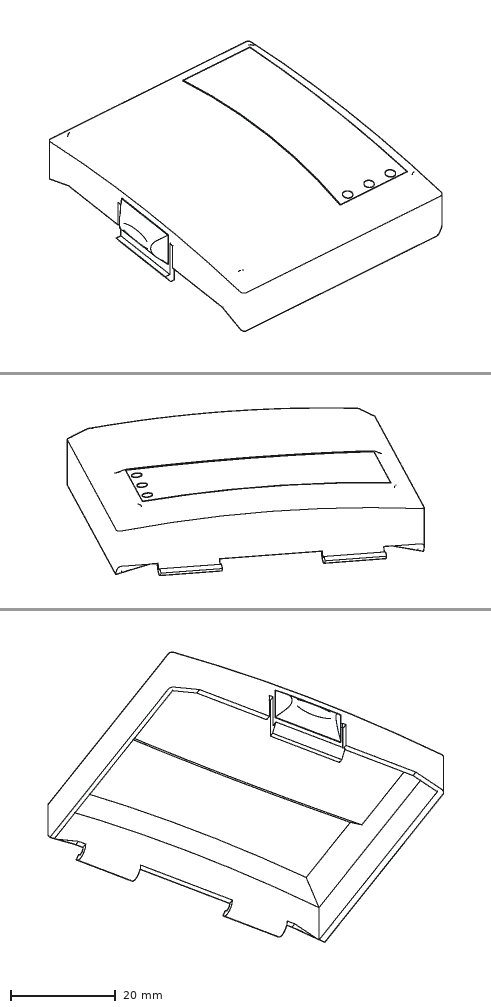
import cadquery as cq
import math

WIDTH = 60.0
DEPTH = 49.0
WALL = 1.1

CROWN_RADIUS = 250.0
UPPER_CROWN_Z = 14.7
LOWER_CROWN_Z = 13.6
CROWN_AXIS_Z = UPPER_CROWN_Z - CROWN_RADIUS

SHOULDER_CROWN_Z = 11.2
SIDE_SLOPE = 38.0
END_SLOPE = 45.0

STEP_SLOPE = 38.0
STEP_TOP_Y = 4.9

CORNER_RADIUS = 0.8
HIP_RADIUS = 1.2
ROOF_EDGE_RADIUS = 2.0
STEP_EDGE_RADIUS = 0.7
ROOF_EDGES_ABOVE_Z = 12.0

RAISED_EDGE_Z = 2.2
RAISED_HALF_WIDTH = 23.6
HEEL_LENGTH = 1.4

LABEL_HALF_WIDTH = 24.2
LABEL_BACK_Y = 20.2
LABEL_STEP_GAP = 0.55
LABEL_DEPTH = 0.1

WINDOW_DIAMETER = 2.0
WINDOW_X = 22.65
WINDOW_FIRST_Y = 6.9
WINDOW_PITCH = 5.2
WINDOW_COUNT = 3
WINDOW_DEPTH = 0.1

TONGUE_HALF_WIDTH = 7.55
SLOT_WIDTH = 0.8
SLOT_TOP_Z = 7.7
CATCH_TOP_Z = 0.1
CATCH_BOTTOM_Z = UPPER_CROWN_Z - 16.46
CATCH_REACH = 1.13
CATCH_TOE = 0.2

GRIP_HALF_WIDTH = 7.15
GRIP_TOP_Z = 9.55
GRIP_BOTTOM_Z = 2.4
GRIP_REACH = 2.5
GRIP_BASE = 0.15
SCOOP_HALF_WIDTH = 4.4
SCOOP_DEPTH = 0.35

HOOK_WIDTH = 12.0
HOOK_CENTER_X = 16.0
HOOK_INNER_RADIUS = 0.9
HOOK_OUTER_RADIUS = HOOK_INNER_RADIUS + WALL
HOOK_TIP_ANGLE = 27.7

FRONT_Y = -DEPTH / 2
BACK_Y = DEPTH / 2
CLEARANCE = 5.0


def rise(run, slope):
    """Height gained over a horizontal run at a slope in degrees."""
    return run * math.tan(math.radians(slope))


def prism_along_x(sketch, half_width):
    """Extrude a closed YZ sketch symmetrically about X = 0."""
    return sketch.extrude(half_width, both=True)


def crowned(points):
    """Sweep a YZ polygon (heights taken at X = 0) around the crown axis."""
    half_angle = math.degrees(math.asin(WIDTH / CROWN_RADIUS))
    profile = cq.Workplane("YZ").polyline(points).close()
    swept = profile.revolve(2 * half_angle, (0, CROWN_AXIS_Z, 0), (1, CROWN_AXIS_Z, 0))
    return swept.rotate((0, 0, CROWN_AXIS_Z), (0, 1, CROWN_AXIS_Z), -half_angle)


def crown_band(bottom_z, top_z):
    """Crowned layer between two crown heights, longer than the cover."""
    front = FRONT_Y - CLEARANCE
    back = BACK_Y + CLEARANCE
    return crowned([(front, bottom_z), (back, bottom_z), (back, top_z), (front, top_z)])


def ahead_of_step(gap):
    """Everything on the -Y side of the step plane, moved by gap along Y."""
    low_y = STEP_TOP_Y + gap
    reach = 2 * CLEARANCE
    height = rise(reach, STEP_SLOPE)
    sketch = cq.Workplane("YZ").polyline([
        (low_y - reach, UPPER_CROWN_Z - height),
        (low_y + reach, UPPER_CROWN_Z + height),
        (FRONT_Y - CLEARANCE, UPPER_CROWN_Z + height),
        (FRONT_Y - CLEARANCE, UPPER_CROWN_Z - height),
    ]).close()
    return prism_along_x(sketch, WIDTH)


def envelope(inset):
    """Solid cover shape, with its walls and roof moved inward by inset."""
    roof_z = UPPER_CROWN_Z - inset
    shoulder_z = SHOULDER_CROWN_Z - inset / 2
    front = FRONT_Y + inset
    back = BACK_Y - inset
    bottom = -CLEARANCE
    shoulder_run = (roof_z - shoulder_z) / rise(1, END_SLOPE)
    lengthwise = crowned([
        (front, bottom),
        (front, shoulder_z),
        (front + shoulder_run, roof_z),
        (back - shoulder_run, roof_z),
        (back, shoulder_z),
        (back, bottom),
    ])

    side = WIDTH / 2 - inset
    side_top_z = CROWN_AXIS_Z + math.sqrt((shoulder_z - CROWN_AXIS_Z) ** 2 - side**2)
    peak_z = side_top_z + rise(side, SIDE_SLOPE)
    crosswise = (
        cq.Workplane("XZ")
        .polyline([(-side, 0), (side, 0), (side, side_top_z), (0, peak_z), (-side, side_top_z)])
        .close()
        .extrude(DEPTH, both=True)
    )
    lowered = crown_band(LOWER_CROWN_Z - inset, UPPER_CROWN_Z + CLEARANCE).intersect(ahead_of_step(inset))
    return crosswise.intersect(lengthwise).cut(lowered)


def edges_within(low, high):
    """Selector for the edges whose centers lie in a box."""
    return cq.selectors.BoxSelector(low, high)


def rounded_envelope():
    """Outer shape with rounded roof edges, step edges, hips and upright corners."""
    half_width = WIDTH / 2
    step = edges_within((-1, 0, 0), (1, STEP_TOP_Y + 1, UPPER_CROWN_Z))
    roof = edges_within((-half_width, FRONT_Y, ROOF_EDGES_ABOVE_Z), (half_width, BACK_Y, UPPER_CROWN_Z))
    hips = edges_within((-half_width, FRONT_Y, RAISED_EDGE_Z), (half_width, BACK_Y, ROOF_EDGES_ABOVE_Z))
    sloping = cq.selectors.TypeSelector("HYPERBOLA")

    body = envelope(0)
    body = body.edges(hips).edges(sloping).fillet(HIP_RADIUS)
    body = body.edges(roof - step).fillet(ROOF_EDGE_RADIUS)
    body = body.edges(step).fillet(STEP_EDGE_RADIUS)
    return body.edges("|Z").fillet(CORNER_RADIUS)


def bottom_relief():
    """Material removed to raise the bottom edge between the side wall feet and at the back heels."""
    half = WIDTH / 2
    raised = (
        cq.Workplane("XZ")
        .polyline([
            (-half, 0),
            (-RAISED_HALF_WIDTH, RAISED_EDGE_Z),
            (RAISED_HALF_WIDTH, RAISED_EDGE_Z),
            (half, 0),
        ])
        .close()
        .extrude(DEPTH, both=True)
    )
    heel = cq.Workplane("YZ").polyline([
        (BACK_Y - HEEL_LENGTH, 0),
        (BACK_Y, RAISED_EDGE_Z),
        (BACK_Y, 0),
    ]).close()
    return raised.union(prism_along_x(heel, WIDTH))


def label_recess():
    """Thin crowned layer over the label area, ending just behind the step."""
    skin = crown_band(UPPER_CROWN_Z - LABEL_DEPTH, UPPER_CROWN_Z + CLEARANCE)
    area = (
        cq.Workplane("XY")
        .rect(2 * LABEL_HALF_WIDTH, 2 * LABEL_BACK_Y)
        .extrude(UPPER_CROWN_Z + CLEARANCE)
    )
    return skin.intersect(area).cut(ahead_of_step(LABEL_STEP_GAP))


def indicator_windows():
    """Row of shallow round pockets in the label floor."""
    floor_depth = LABEL_DEPTH + WINDOW_DEPTH
    skin = crown_band(UPPER_CROWN_Z - floor_depth, UPPER_CROWN_Z + CLEARANCE)
    centers = [(WINDOW_X, WINDOW_FIRST_Y + i * WINDOW_PITCH) for i in range(WINDOW_COUNT)]
    pins = (
        cq.Workplane("XY")
        .pushPoints(centers)
        .circle(WINDOW_DIAMETER / 2)
        .extrude(UPPER_CROWN_Z + CLEARANCE)
    )
    return skin.intersect(pins)


def latch_slots():
    """Slots through the front wall on both sides of the tongue."""
    offset = TONGUE_HALF_WIDTH + SLOT_WIDTH / 2
    return (
        cq.Workplane("XY")
        .pushPoints([(-offset, FRONT_Y), (offset, FRONT_Y)])
        .rect(SLOT_WIDTH, 2 * WALL + CORNER_RADIUS)
        .extrude(SLOT_TOP_Z)
    )


def latch_tongue():
    """Tongue below the raised edge, ending in an outward catch."""
    inner_y = FRONT_Y + WALL
    sketch = cq.Workplane("YZ").polyline([
        (inner_y, RAISED_EDGE_Z),
        (FRONT_Y, RAISED_EDGE_Z),
        (FRONT_Y, CATCH_TOP_Z),
        (FRONT_Y - CATCH_REACH, CATCH_TOP_Z),
        (FRONT_Y + CATCH_TOE, CATCH_BOTTOM_Z),
        (inner_y, CATCH_BOTTOM_Z),
    ]).close()
    return prism_along_x(sketch, TONGUE_HALF_WIDTH)


def finger_grip():
    """Four-sided wedge with a rounded nose and a shallow finger scoop."""
    half_height = (GRIP_TOP_Z - GRIP_BOTTOM_Z) / 2
    middle_z = (GRIP_TOP_Z + GRIP_BOTTOM_Z) / 2
    base_y = FRONT_Y - GRIP_BASE
    nose_y = FRONT_Y - GRIP_REACH
    slope_reach = GRIP_REACH - GRIP_BASE
    nose_radius = (half_height - slope_reach) / (math.sqrt(2) - 1)
    tangent = nose_radius * math.sin(math.pi / 4)
    tangent_y = base_y - half_height + tangent
    sketch = (
        cq.Workplane("YZ")
        .moveTo(FRONT_Y, GRIP_BOTTOM_Z)
        .lineTo(base_y, GRIP_BOTTOM_Z)
        .lineTo(tangent_y, middle_z - tangent)
        .threePointArc((nose_y, middle_z), (tangent_y, middle_z + tangent))
        .lineTo(base_y, GRIP_TOP_Z)
        .lineTo(FRONT_Y, GRIP_TOP_Z)
        .close()
    )
    wedge = prism_along_x(sketch, GRIP_HALF_WIDTH)
    sloped_ends = (
        cq.Workplane("XY")
        .polyline([
            (-GRIP_HALF_WIDTH, FRONT_Y),
            (GRIP_HALF_WIDTH, FRONT_Y),
            (GRIP_HALF_WIDTH, base_y),
            (GRIP_HALF_WIDTH - slope_reach, nose_y),
            (slope_reach - GRIP_HALF_WIDTH, nose_y),
            (-GRIP_HALF_WIDTH, base_y),
        ])
        .close()
        .extrude(UPPER_CROWN_Z)
    )
    scoop_radius = (SCOOP_HALF_WIDTH**2 + SCOOP_DEPTH**2) / (2 * SCOOP_DEPTH)
    scoop = (
        cq.Workplane("XY")
        .center(0, nose_y + SCOOP_DEPTH - scoop_radius)
        .circle(scoop_radius)
        .extrude(UPPER_CROWN_Z)
    )
    return wedge.intersect(sloped_ends).cut(scoop)


def hook(center_x):
    """Curl continuing the back wall downward and outward, ending in a radial tip."""
    center_y = BACK_Y + HOOK_INNER_RADIUS
    tip = math.radians(-HOOK_TIP_ANGLE)
    middle = (tip - math.pi) / 2

    def on_arc(radius, angle):
        return (center_y + radius * math.cos(angle), RAISED_EDGE_Z + radius * math.sin(angle))

    return (
        cq.Workplane("YZ", origin=(center_x - HOOK_WIDTH / 2, 0, 0))
        .moveTo(BACK_Y, RAISED_EDGE_Z)
        .threePointArc(on_arc(HOOK_INNER_RADIUS, middle), on_arc(HOOK_INNER_RADIUS, tip))
        .lineTo(*on_arc(HOOK_OUTER_RADIUS, tip))
        .threePointArc(on_arc(HOOK_OUTER_RADIUS, middle), (BACK_Y - WALL, RAISED_EDGE_Z))
        .close()
        .extrude(HOOK_WIDTH)
    )


cover = rounded_envelope().cut(envelope(WALL)).cut(bottom_relief())
cover = cover.cut(label_recess()).cut(indicator_windows()).cut(latch_slots())
cover = cover.union(latch_tongue()).union(finger_grip())
for hook_x in (-HOOK_CENTER_X, HOOK_CENTER_X):
    cover = cover.union(hook(hook_x))

result = cover